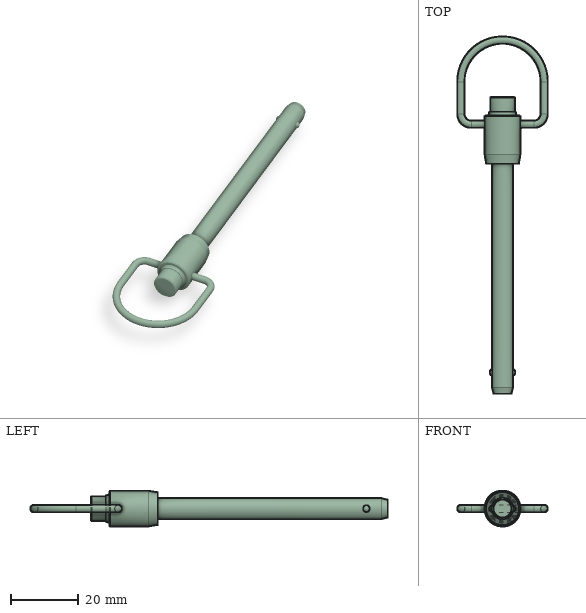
import cadquery as cq
import math

overall_length = 106.2

shank_length = 68.3
shank_radius = 3.2
tip_length = 2.0
tip_radius = 2.7

collar_length = 14.4
collar_radius = 5.36
collar_taper_length = 2.9
collar_end_radius = 4.9
collar_chamfer = 0.3

neck_height = 1.1
neck_radius = 4.2
neck_top_radius = 3.9
button_height = 5.5
button_radius = 3.7
button_chamfer = 0.3

ball_radius = 1.1
ball_span = 7.6
ball_from_tip = 6.4

wire_radius = 1.11
ring_width = 27.0
ring_straight = 9.6
ring_corner_radius = 3.1


def turned_body():
    """Tip, shank, collar, neck and button turned about the Y axis."""
    neck_top = collar_length + neck_height
    button_top = collar_length + button_height
    profile = [
        (0, -shank_length),
        (tip_radius, -shank_length),
        (shank_radius, -shank_length + tip_length),
        (shank_radius, 0),
        (collar_end_radius, 0),
        (collar_radius, collar_taper_length),
        (collar_radius, collar_length - collar_chamfer),
        (collar_radius - collar_chamfer, collar_length),
        (neck_radius, collar_length),
        (neck_top_radius, neck_top),
        (button_radius, neck_top),
        (button_radius, button_top - button_chamfer),
        (button_radius - button_chamfer, button_top),
        (0, button_top),
    ]
    return cq.Workplane("XY").polyline(profile).close().revolve(360, (0, 0), (0, 1))


def locking_ball(side):
    """Ball partly sunk in the shank; side is -1 or 1 along X."""
    x = side * (ball_span / 2 - ball_radius)
    y = -shank_length + ball_from_tip
    return cq.Workplane("XY").sphere(ball_radius).translate((x, y, 0))


def pull_ring():
    """Closed D-shaped wire whose straight bar crosses the collar."""
    half_width = ring_width / 2 - wire_radius
    arc_top = overall_length - shank_length - wire_radius
    arc_y = arc_top - half_width
    corner_y = arc_y - ring_straight
    bar_y = corner_y - ring_corner_radius
    bar_half = half_width - ring_corner_radius
    diagonal = ring_corner_radius * math.sqrt(0.5)
    path = (
        cq.Workplane("XY")
        .moveTo(0, bar_y)
        .lineTo(bar_half, bar_y)
        .threePointArc((bar_half + diagonal, corner_y - diagonal), (half_width, corner_y))
        .lineTo(half_width, arc_y)
        .threePointArc((0, arc_top), (-half_width, arc_y))
        .lineTo(-half_width, corner_y)
        .threePointArc((-bar_half - diagonal, corner_y - diagonal), (-bar_half, bar_y))
        .close()
    )
    section = cq.Workplane("YZ").center(bar_y, 0).circle(wire_radius)
    return section.sweep(path)


result = turned_body().union(pull_ring())
for side in (-1, 1):
    result = result.union(locking_ball(side))